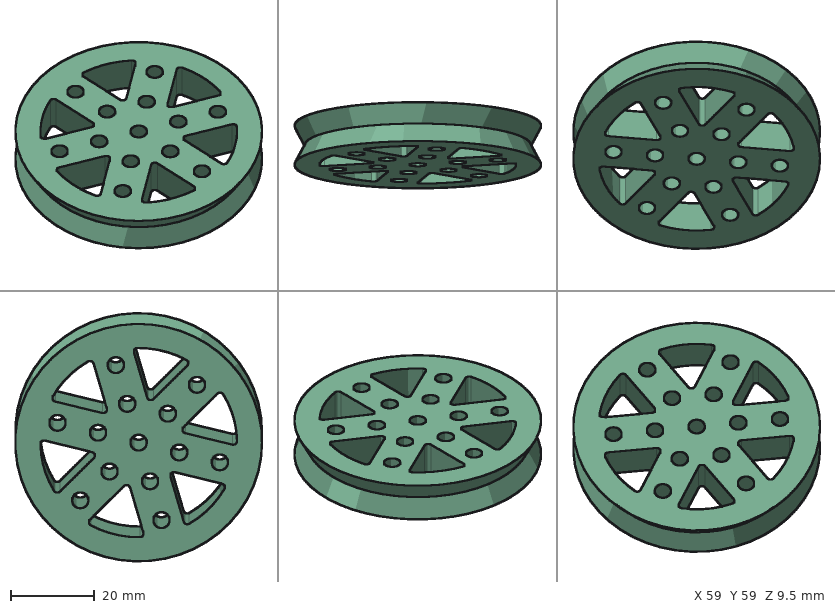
import cadquery as cq
import math

rim_radius = 29.5
thickness = 9.5
groove_depth = 2.5
groove_radius = rim_radius - groove_depth

spoke_count = 6
spoke_angle = 360 / spoke_count
spoke_half_width = 5.0
window_outer_radius = 23.5
window_corner_radius = 0.9

hole_diameter = 3.9
outer_hole_circle_radius = 20.0
inner_hole_circle_radius = outer_hole_circle_radius / 2


def polar_point(radius, angle):
    radians = math.radians(angle)
    return (radius * math.cos(radians), radius * math.sin(radians))


def make_body():
    """Disc with a V groove around its rim."""
    return (
        cq.Workplane("XZ")
        .moveTo(0, 0)
        .lineTo(rim_radius, 0)
        .lineTo(groove_radius, thickness / 2)
        .lineTo(rim_radius, thickness)
        .lineTo(0, thickness)
        .close()
        .revolve(360, (0, 0, 0), (0, 1, 0))
    )


def make_window():
    """Sector between two spokes, with sides parallel to the spokes and rounded corners."""
    middle_angle = spoke_angle / 2
    apex_radius = spoke_half_width / math.sin(math.radians(middle_angle))
    edge_angle = math.degrees(math.asin(spoke_half_width / window_outer_radius))
    return (
        cq.Workplane("XY")
        .moveTo(*polar_point(apex_radius, middle_angle))
        .lineTo(*polar_point(window_outer_radius, edge_angle))
        .threePointArc(
            polar_point(window_outer_radius, middle_angle),
            polar_point(window_outer_radius, spoke_angle - edge_angle),
        )
        .close()
        .extrude(thickness)
        .edges("|Z")
        .fillet(window_corner_radius)
    )


def make_holes():
    """Through holes along the spokes, plus the centre hole."""
    centres = [(0, 0)]
    for circle_radius in (inner_hole_circle_radius, outer_hole_circle_radius):
        for index in range(spoke_count):
            centres.append(polar_point(circle_radius, index * spoke_angle))
    return cq.Workplane("XY").pushPoints(centres).circle(hole_diameter / 2).extrude(thickness)


result = make_body().cut(make_holes())
window = make_window()
for index in range(spoke_count):
    result = result.cut(window.rotate((0, 0, 0), (0, 0, 1), index * spoke_angle))